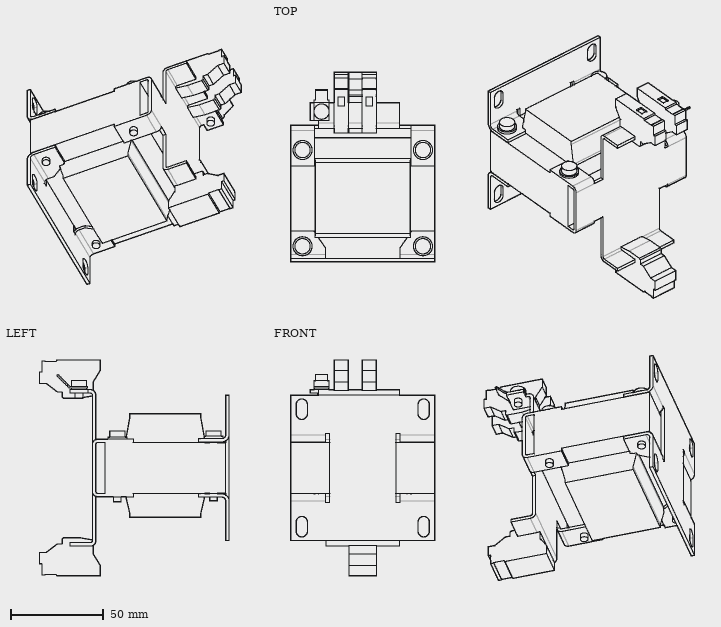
import cadquery as cq


SHEET = 1.9

PLATE_WIDTH = 78.0
PLATE_HEIGHT = 78.8
SLOT_WIDTH = 6.0
SLOT_LENGTH = 11.0
SLOT_X = 33.0
SLOT_Z = 31.8
WINDOW_HALF_GAP = 17.9
TAB_INNER_X = 20.1
RELIEF_TOP_Z = 18.7
FRONT_TAB_GAP = 0.2
FRONT_TAB_END_Y = 16.65
FRONT_TAB_END_X = 26.5
FRONT_TAB_TAPER_Y = 7.4
FRONT_BEND_RADIUS = 4.0

CORE_HALF_HEIGHT = 13.75
CORE_REAR_Y = 67.2
COIL_FRONT_Y = 15.3
COIL_REAR_Y = 53.8
COIL_HALF_WIDTH = 25.5
COIL_FLARE_X = 0.4
COIL_FLARE_Y = 2.2
COIL_RIM = 2.0
COIL_TOP_Z = 29.4
COIL_FOOT_HEIGHT = 1.6
COIL_BOTTOM_Z = -26.8

BRACKET_REAR_Y = 74.0
BRACKET_TAB_END_Y = 51.8
BRACKET_TAB_INNER_X = 26.0
BRACKET_BEND_RADIUS = 2.9
ARM_HALF_WIDTH = 20.0
ARM_TOP_LEFT_X = -24.0
ARM_TOP_Z = 42.4
ARM_END_Y = 86.1
ARM_BEND_RADIUS = 3.0
EAR_LEFT_X = -28.5
EAR_FRONT_Y = 76.4

SCREW_X = 32.6
SCREW_FRONT_Y = 8.4
SCREW_PITCH_Y = 52.1
SCREW_HEAD_DIAMETER = 8.3
SCREW_HEAD_TOP_Z = 20.1
WASHER_DIAMETER = 10.3
WASHER_FRONT_TOP_Z = 17.2
WASHER_REAR_TOP_Z = 16.7
SHANK_DIAMETER = 4.2
SHANK_FRONT_END_Z = -17.9
SHANK_REAR_END_Z = -18.4

EARTH_X = -22.3
EARTH_Y = 81.3
EARTH_HEAD_HEIGHT = 3.0
EARTH_WASHER_DIAMETER = 8.0
EARTH_WASHER_HEIGHT = 0.9
EARTH_SHANK_END_Z = 37.7
TAG_THICKNESS = 0.9
TAG_BASE_WIDTH = 8.2
TAG_BLADE_WIDTH = 6.6
TAG_FRONT_Y = 76.6
TAG_BEND_Y = 86.6
TAG_SHOULDER_Y = 87.6
TAG_RISE = 6.7

BLOCK_WIDTH = 7.75
UPPER_BLOCK_CENTRES = (-11.65, 3.55)
LOWER_BLOCK_WIDTH = 14.9
BLOCK_PROFILE = [
    (69.7, 58.5),
    (93.2, 58.5),
    (93.7, 57.7),
    (99.6, 57.7),
    (99.6, 58.0),
    (101.4, 58.0),
    (101.4, 52.0),
    (102.7, 52.0),
    (102.7, 45.7),
    (99.0, 45.7),
    (93.0, 41.1),
    (90.4, 41.1),
    (90.4, 38.4),
    (89.6, 37.7),
    (81.0, 37.7),
    (73.5, 39.0),
    (73.5, 46.6),
    (69.7, 52.8),
]
BLOCK_TOP_Z = BLOCK_PROFILE[0][1]
POCKET_WIDTH = 3.5
POCKET_LENGTH = 4.7
POCKET_DEPTH = 1.0
POCKET_Y = 86.8


def box(x_range, y_range, z_range):
    """Box between two limits along each axis."""
    (x0, x1), (y0, y1), (z0, z1) = x_range, y_range, z_range
    return cq.Workplane("XY").box(x1 - x0, y1 - y0, z1 - z0, centered=False).translate((x0, y0, z0))


def cylinder(x, y, diameter, z_bottom, z_top):
    """Vertical cylinder."""
    base = cq.Workplane("XY").workplane(offset=z_bottom).center(x, y)
    return base.circle(diameter / 2).extrude(z_top - z_bottom)


def extrude_yz(points, x0, x1):
    """Closed YZ outline extruded from x0 to x1."""
    return cq.Workplane("YZ").workplane(offset=x0).polyline(points).close().extrude(x1 - x0)


def bent_sheet(x_range, corner, y_end, z_end, radius):
    """Right-angle bent strip: legs run from the outer corner to y_end and to z_end."""
    y, z = corner
    y_inner = y + (SHEET if y_end > y else -SHEET)
    z_inner = z + (SHEET if z_end > z else -SHEET)
    outline = [(y, z), (y_end, z), (y_end, z_inner), (y_inner, z_inner), (y_inner, z_end), (y, z_end)]
    strip = extrude_yz(outline, *x_range)
    x_mid = sum(x_range) / 2
    outer_edge = cq.selectors.NearestToPointSelector((x_mid, y, z))
    inner_edge = cq.selectors.NearestToPointSelector((x_mid, y_inner, z_inner))
    return strip.edges(outer_edge).fillet(radius).edges(inner_edge).fillet(radius - SHEET)


def mirrored_x(body):
    return body.union(body.mirror("YZ"))


def mirrored_z(body):
    return body.union(body.mirror("XY"))


def make_front_tab():
    """Upper right tab, bent rearwards out of the plate and tapered to its free end."""
    edge_x = PLATE_WIDTH / 2
    z_low = CORE_HALF_HEIGHT + FRONT_TAB_GAP
    tab = bent_sheet((TAB_INNER_X, edge_x), (0, z_low), FRONT_TAB_END_Y, RELIEF_TOP_Z, FRONT_BEND_RADIUS)
    corner_cut = (
        cq.Workplane("XY")
        .polyline(
            [
                (TAB_INNER_X, FRONT_TAB_TAPER_Y),
                (FRONT_TAB_END_X, FRONT_TAB_END_Y),
                (TAB_INNER_X, FRONT_TAB_END_Y),
            ]
        )
        .close()
        .extrude(RELIEF_TOP_Z)
    )
    return tab.cut(corner_cut)


def make_mounting_plate():
    edge_x = PLATE_WIDTH / 2
    edge_z = PLATE_HEIGHT / 2
    bend_z = CORE_HALF_HEIGHT + FRONT_TAB_GAP + FRONT_BEND_RADIUS
    through = (0, SHEET)
    plate = box((-edge_x, edge_x), through, (-edge_z, edge_z))
    window = box((WINDOW_HALF_GAP, edge_x), through, (-bend_z, bend_z))
    relief = box((WINDOW_HALF_GAP, TAB_INNER_X), through, (-RELIEF_TOP_Z, RELIEF_TOP_Z))
    plate = plate.cut(mirrored_x(window.union(relief)))
    slots = (
        cq.Workplane("XZ")
        .rect(2 * SLOT_X, 2 * SLOT_Z, forConstruction=True)
        .vertices()
        .slot2D(SLOT_LENGTH, SLOT_WIDTH, 90)
        .extrude(-SHEET)
    )
    return plate.cut(slots).union(mirrored_x(mirrored_z(make_front_tab())))


def make_core():
    edge_x = PLATE_WIDTH / 2
    return box((-edge_x, edge_x), (SHEET, CORE_REAR_Y), (-CORE_HALF_HEIGHT, CORE_HALF_HEIGHT))


def make_coil_end(end_z):
    """One end of the coil former: front and rear slope from foot to rim, and the sides taper."""
    side = 1 if end_z > 0 else -1
    rim_z = end_z - side * COIL_RIM
    root_z = side * CORE_HALF_HEIGHT
    foot_z = root_z + side * COIL_FOOT_HEIGHT
    root_half_width = COIL_HALF_WIDTH + COIL_FLARE_X
    profile = [
        (COIL_FRONT_Y - COIL_FLARE_Y, root_z),
        (COIL_FRONT_Y - COIL_FLARE_Y, foot_z),
        (COIL_FRONT_Y, rim_z),
        (COIL_FRONT_Y, end_z),
        (COIL_REAR_Y, end_z),
        (COIL_REAR_Y, rim_z),
        (COIL_REAR_Y + COIL_FLARE_Y, foot_z),
        (COIL_REAR_Y + COIL_FLARE_Y, root_z),
    ]
    side_taper = [
        (-root_half_width, root_z),
        (-COIL_HALF_WIDTH, end_z),
        (COIL_HALF_WIDTH, end_z),
        (root_half_width, root_z),
    ]
    taper_body = cq.Workplane("XZ").polyline(side_taper).close().extrude(-CORE_REAR_Y)
    return extrude_yz(profile, -root_half_width, root_half_width).intersect(taper_body)


def make_rear_bracket():
    """C-shaped bracket over the core with an arm above and below, each ending in a flange."""
    edge_x = PLATE_WIDTH / 2
    tab_top = CORE_HALF_HEIGHT + SHEET
    web_top = tab_top - BRACKET_BEND_RADIUS
    arm_front_y = BRACKET_REAR_Y - SHEET
    tab = bent_sheet(
        (BRACKET_TAB_INNER_X, edge_x),
        (BRACKET_REAR_Y, tab_top),
        BRACKET_TAB_END_Y,
        0,
        BRACKET_BEND_RADIUS,
    )
    web = box((-edge_x, edge_x), (arm_front_y, BRACKET_REAR_Y), (-web_top, web_top))
    upper_arm = bent_sheet(
        (ARM_TOP_LEFT_X, ARM_HALF_WIDTH), (arm_front_y, ARM_TOP_Z), ARM_END_Y, 0, ARM_BEND_RADIUS
    )
    lower_arm = bent_sheet(
        (-ARM_HALF_WIDTH, ARM_HALF_WIDTH), (arm_front_y, -ARM_TOP_Z), ARM_END_Y, 0, ARM_BEND_RADIUS
    )
    ear = box((EAR_LEFT_X, ARM_TOP_LEFT_X), (EAR_FRONT_Y, ARM_END_Y), (ARM_TOP_Z - SHEET, ARM_TOP_Z))
    return mirrored_x(mirrored_z(tab)).union(web).union(upper_arm).union(lower_arm).union(ear)


def make_core_screw(x, y, washer_top_z, shank_end_z):
    shank = cylinder(x, y, SHANK_DIAMETER, shank_end_z, SCREW_HEAD_TOP_Z)
    washer = cylinder(x, y, WASHER_DIAMETER, CORE_HALF_HEIGHT + SHEET, washer_top_z)
    head = cylinder(x, y, SCREW_HEAD_DIAMETER, washer_top_z, SCREW_HEAD_TOP_Z)
    return shank.union(washer).union(head)


def make_earth_terminal():
    tag_z = ARM_TOP_Z + EARTH_WASHER_HEIGHT
    head_z = tag_z + TAG_THICKNESS
    head_top_z = head_z + EARTH_HEAD_HEIGHT
    shank = cylinder(EARTH_X, EARTH_Y, SHANK_DIAMETER, EARTH_SHANK_END_Z, head_top_z)
    washer = cylinder(EARTH_X, EARTH_Y, EARTH_WASHER_DIAMETER, ARM_TOP_Z, tag_z)
    head = cylinder(EARTH_X, EARTH_Y, SCREW_HEAD_DIAMETER, head_z, head_top_z)

    slant = TAG_THICKNESS * 2**-0.5
    bend_shift = TAG_THICKNESS * (2**0.5 - 1)
    outline = [
        (TAG_FRONT_Y, tag_z),
        (TAG_BEND_Y, tag_z),
        (TAG_BEND_Y + TAG_RISE, tag_z + TAG_RISE),
        (TAG_BEND_Y + TAG_RISE - slant, tag_z + TAG_RISE + slant),
        (TAG_BEND_Y - bend_shift, head_z),
        (TAG_FRONT_Y, head_z),
    ]
    tag = extrude_yz(outline, EARTH_X - TAG_BASE_WIDTH / 2, EARTH_X + TAG_BASE_WIDTH / 2)
    for side in (-1, 1):
        inner_x = EARTH_X + side * TAG_BLADE_WIDTH / 2
        outer_x = EARTH_X + side * TAG_BASE_WIDTH / 2
        trim = box(
            (min(inner_x, outer_x), max(inner_x, outer_x)),
            (TAG_SHOULDER_Y, TAG_BEND_Y + TAG_RISE),
            (tag_z, tag_z + TAG_RISE + slant),
        )
        tag = tag.cut(trim)
    return shank.union(washer).union(head).union(tag)


def make_terminal_block(centre_x, width):
    return extrude_yz(BLOCK_PROFILE, centre_x - width / 2, centre_x + width / 2)


def make_upper_block(centre_x):
    """Terminal block with a small rectangular pocket in its top face."""
    pocket = box(
        (centre_x - POCKET_WIDTH / 2, centre_x + POCKET_WIDTH / 2),
        (POCKET_Y - POCKET_LENGTH / 2, POCKET_Y + POCKET_LENGTH / 2),
        (BLOCK_TOP_Z - POCKET_DEPTH, BLOCK_TOP_Z),
    )
    return make_terminal_block(centre_x, BLOCK_WIDTH).cut(pocket)


result = make_core().union(make_mounting_plate()).union(make_rear_bracket())
for coil_end_z in (COIL_TOP_Z, COIL_BOTTOM_Z):
    result = result.union(make_coil_end(coil_end_z))
for screw_x in (-SCREW_X, SCREW_X):
    front_screw = make_core_screw(screw_x, SCREW_FRONT_Y, WASHER_FRONT_TOP_Z, SHANK_FRONT_END_Z)
    rear_y = SCREW_FRONT_Y + SCREW_PITCH_Y
    rear_screw = make_core_screw(screw_x, rear_y, WASHER_REAR_TOP_Z, SHANK_REAR_END_Z)
    result = result.union(front_screw).union(rear_screw)
result = result.union(make_earth_terminal())
for block_x in UPPER_BLOCK_CENTRES:
    result = result.union(make_upper_block(block_x))
result = result.union(make_terminal_block(0, LOWER_BLOCK_WIDTH).mirror("XY"))